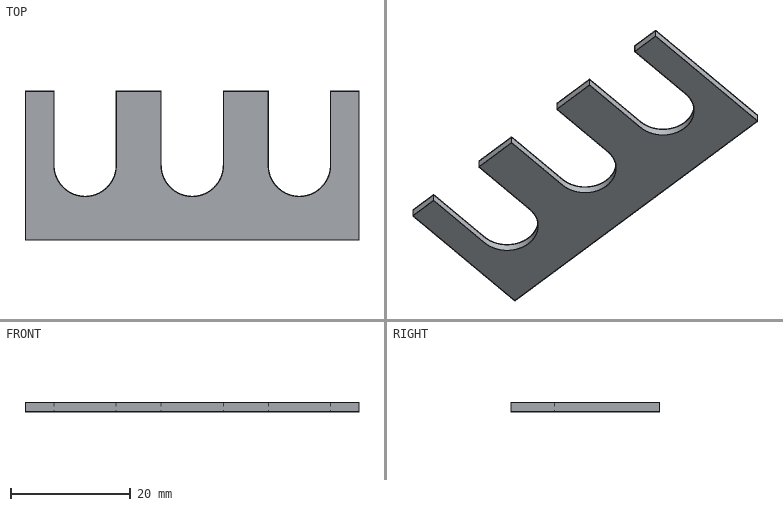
import cadquery as cq

length = 56.0
width = 25.0
thickness = 1.55

slot_count = 3
slot_pitch = 18.0
slot_width = 10.4
slot_depth = 17.65

slot_radius = slot_width / 2
back_edge = width / 2
arc_center_y = back_edge - slot_depth + slot_radius


def open_slot(center_x):
    """Cutter with parallel sides and a semicircular closed end."""
    left = center_x - slot_radius
    right = center_x + slot_radius
    return (
        cq.Workplane("XY")
        .moveTo(left, back_edge)
        .lineTo(left, arc_center_y)
        .threePointArc((center_x, arc_center_y - slot_radius), (right, arc_center_y))
        .lineTo(right, back_edge)
        .close()
        .extrude(thickness)
    )


result = cq.Workplane("XY").box(length, width, thickness, centered=(True, True, False))

for index in range(slot_count):
    offset = index - (slot_count - 1) / 2
    result = result.cut(open_slot(offset * slot_pitch))